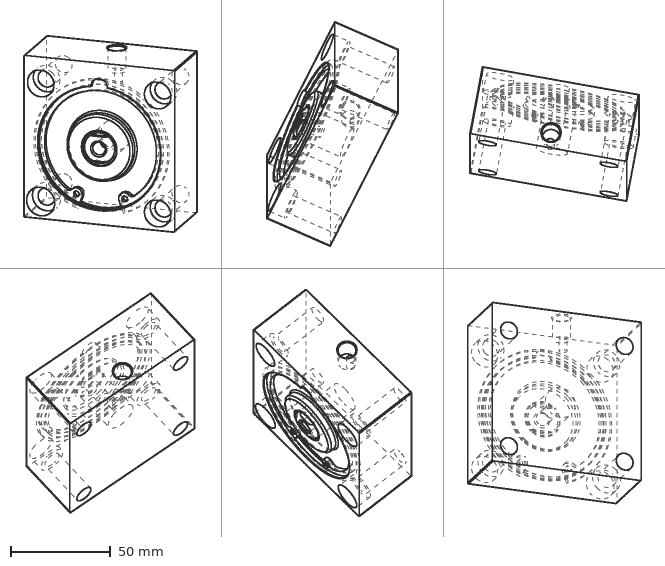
import cadquery as cq
import math

WIDTH = 80.0
DEPTH = 35.0
HEIGHT = 85.0
EDGE_CHAMFER = 0.4
BORE_Z = -2.5

HOLE_OFFSET = 31.0
HOLE_DIA = 9.0
COUNTERBORE_DIA = 14.0
LARGE_COUNTERBORE_DIA = 15.0
COUNTERBORE_DEPTH = 9.0

PORT_Y = 27.2
PORT_DIA = 9.0
PORT_MOUTH_DIA = 10.1
PORT_DEPTH = 11.9
PORT_FEED_DIA = 4.0
PORT_FEED_DEPTH = 6.8
PORT_FEED_OFFSET = 2.2

RECESS_DIA = 64.8
MOUTH_CHAMFER = 0.3
RECESS_DEPTH = 5.0
GROOVE_DIA = 67.0
RING_FRONT = 2.1
RING_THICKNESS = 2.4
NOTCH_DIA = 8.6
NOTCH_OFFSET = 32.4

BOSS_DIA = 35.0
BOSS_FACE = 0.1
BOSS_FOOT = 0.9
BOSS_CHAMFER = 1.2
ROD_RELIEF_DIA = 18.0
ROD_RELIEF_DEPTH = 0.25
ROD_RELIEF_CHAMFER = 0.4

RING_OUTER_DIA = 71.1
RING_INNER_RADIUS = 29.75
LUG_X = 12.8
LUG_DROP = 25.8
LUG_RADIUS = 3.2
LUG_HOLE_DIA = 3.0
LUG_FILLET = 2.0

ROD_DIA = 16.0
ROD_PROTRUSION = 1.0
ROD_INSERTION = 25.5
ROD_FILLET = 1.45
FLAT_WIDTH = 13.1
FLAT_LENGTH = 2.2
ROD_HOLE_DIA = 6.6
ROD_HOLE_DEPTH = 12.75
ROD_HOLE_CHAMFER = 0.85


def front_plane(y, z=BORE_Z):
    """Plane at depth y whose local axes are X and Z and whose normal points toward -Y."""
    return cq.Workplane("XZ", origin=(0, y, z))


def cylinder(diameter, y_start, y_end):
    """Cylinder on the bore axis between two depths."""
    return front_plane(y_start).circle(diameter / 2).extrude(y_start - y_end)


def turned(profile):
    """Solid turned about the bore axis from (radius, depth) points."""
    half_section = cq.Workplane("XY", origin=(0, 0, BORE_Z)).polyline(profile).close()
    return half_section.revolve(360, (0, 0, 0), (0, 1, 0))


def make_block():
    block = cq.Workplane("XY").box(WIDTH, DEPTH, HEIGHT).translate((0, DEPTH / 2, 0))
    return block.edges("|Y").chamfer(EDGE_CHAMFER)


def cut_mounting_holes(body):
    for x_side in (-1, 1):
        for z_side in (-1, 1):
            is_large = x_side < 0 and z_side < 0
            bore = LARGE_COUNTERBORE_DIA if is_large else COUNTERBORE_DIA
            centre = (x_side * HOLE_OFFSET, z_side * HOLE_OFFSET)
            start = front_plane(0).center(*centre)
            body = body.cut(start.circle(HOLE_DIA / 2).extrude(-DEPTH))
            body = body.cut(start.circle(bore / 2).extrude(-COUNTERBORE_DEPTH))
    return body


def cut_port(body):
    top = HEIGHT / 2
    chamfer = (PORT_MOUTH_DIA - PORT_DIA) / 2
    port = cq.Workplane("XY", origin=(0, PORT_Y, top)).circle(PORT_DIA / 2).extrude(-PORT_DEPTH)
    mouth = cq.Workplane("XY", origin=(0, PORT_Y, top)).circle(PORT_MOUTH_DIA / 2)
    mouth = mouth.extrude(-chamfer, taper=45)
    feed = cq.Workplane("XY", origin=(0, PORT_Y + PORT_FEED_OFFSET, top - PORT_DEPTH))
    feed = feed.circle(PORT_FEED_DIA / 2).extrude(-PORT_FEED_DEPTH)
    return body.cut(port).cut(mouth).cut(feed)


def make_boss():
    radius = BOSS_DIA / 2
    return turned([
        (0, RECESS_DEPTH),
        (radius + BOSS_FOOT, RECESS_DEPTH),
        (radius, RECESS_DEPTH - BOSS_FOOT),
        (radius, BOSS_FACE + BOSS_CHAMFER),
        (radius - BOSS_CHAMFER, BOSS_FACE),
        (0, BOSS_FACE),
    ])


def cut_recess(body):
    radius = RECESS_DIA / 2
    recess = turned([
        (0, 0),
        (radius + MOUTH_CHAMFER, 0),
        (radius, MOUTH_CHAMFER),
        (radius, RECESS_DEPTH),
        (0, RECESS_DEPTH),
    ])
    groove = cylinder(GROOVE_DIA, RING_FRONT, RING_FRONT + RING_THICKNESS)
    notch = front_plane(0).center(0, NOTCH_OFFSET).circle(NOTCH_DIA / 2).extrude(-RING_FRONT)
    return body.cut(recess).cut(groove).cut(notch)


def cut_rod_hole(body):
    radius = ROD_RELIEF_DIA / 2
    relief_floor = BOSS_FACE + ROD_RELIEF_CHAMFER + ROD_RELIEF_DEPTH
    relief = turned([
        (0, BOSS_FACE),
        (radius + ROD_RELIEF_CHAMFER, BOSS_FACE),
        (radius, BOSS_FACE + ROD_RELIEF_CHAMFER),
        (radius, relief_floor),
        (0, relief_floor),
    ])
    return body.cut(relief).cut(cylinder(ROD_DIA, BOSS_FACE, ROD_INSERTION))


def make_housing(retaining_ring):
    body = cut_port(cut_mounting_holes(make_block()))
    body = cut_recess(body).union(make_boss())
    return cut_rod_hole(body).cut(retaining_ring)


def ring_sector(inner_radius, start_angle, end_angle):
    """Part of the ring between two angles, measured from straight down toward +X."""
    def point(radius, angle):
        return (radius * math.sin(angle), -radius * math.cos(angle))

    outer_radius = RING_OUTER_DIA / 2
    middle = (start_angle + end_angle) / 2
    outline = (
        front_plane(RING_FRONT)
        .moveTo(*point(inner_radius, start_angle))
        .lineTo(*point(outer_radius, start_angle))
        .threePointArc(point(outer_radius, middle), point(outer_radius, end_angle))
        .lineTo(*point(inner_radius, end_angle))
        .threePointArc(point(inner_radius, middle), point(inner_radius, start_angle))
        .close()
    )
    return outline.extrude(-RING_THICKNESS)


def make_retaining_ring():
    lug_angle = math.atan2(LUG_X, LUG_DROP)
    lug_distance = math.hypot(LUG_X, LUG_DROP)
    gap_angle = lug_angle - math.asin(LUG_RADIUS / lug_distance)
    tangent_radius = math.sqrt(lug_distance**2 - LUG_RADIUS**2)
    ring = ring_sector(RING_INNER_RADIUS, gap_angle, 2 * math.pi - gap_angle)
    lug_centres = [(-LUG_X, -LUG_DROP), (LUG_X, -LUG_DROP)]
    lugs = front_plane(RING_FRONT).pushPoints(lug_centres).circle(LUG_RADIUS).extrude(-RING_THICKNESS)
    ring = ring.union(lugs)
    for start, end in ((gap_angle, lug_angle), (-lug_angle, -gap_angle)):
        ring = ring.union(ring_sector(tangent_radius, start, end))

    cosine = lug_distance**2 + RING_INNER_RADIUS**2 - LUG_RADIUS**2
    cosine /= 2 * lug_distance * RING_INNER_RADIUS
    corner_angle = lug_angle + math.acos(cosine)
    corner_z = BORE_Z - RING_INNER_RADIUS * math.cos(corner_angle)
    for side in (-1, 1):
        corner = (side * RING_INNER_RADIUS * math.sin(corner_angle), RING_FRONT, corner_z)
        ring = ring.edges("|Y").edges(cq.NearestToPointSelector(corner)).fillet(LUG_FILLET)
    holes = front_plane(RING_FRONT).pushPoints(lug_centres).circle(LUG_HOLE_DIA / 2).extrude(-RING_THICKNESS)
    return ring.cut(holes)


def make_rod():
    rod = cylinder(ROD_DIA, -ROD_PROTRUSION, ROD_INSERTION).faces("<Y").edges().fillet(ROD_FILLET)
    flat_z = FLAT_WIDTH / 2
    slope_start = FLAT_LENGTH - ROD_PROTRUSION
    slope_run = ROD_DIA / 2 - flat_z
    for side in (-1, 1):
        cutter = (
            cq.Workplane("YZ", origin=(-ROD_DIA / 2, 0, BORE_Z))
            .moveTo(-ROD_PROTRUSION, side * flat_z)
            .lineTo(slope_start, side * flat_z)
            .lineTo(slope_start + slope_run, side * ROD_DIA / 2)
            .lineTo(-ROD_PROTRUSION, side * ROD_DIA / 2)
            .close()
            .extrude(ROD_DIA)
        )
        rod = rod.cut(cutter)
    radius = ROD_HOLE_DIA / 2
    hole = turned([
        (0, -ROD_PROTRUSION),
        (radius + ROD_HOLE_CHAMFER, -ROD_PROTRUSION),
        (radius, ROD_HOLE_CHAMFER - ROD_PROTRUSION),
        (radius, ROD_HOLE_DEPTH - ROD_PROTRUSION),
        (0, ROD_HOLE_DEPTH - ROD_PROTRUSION),
    ])
    return rod.cut(hole)


retaining_ring = make_retaining_ring()
housing = make_housing(retaining_ring)
rod = make_rod()

result = cq.Compound.makeCompound([housing.val(), retaining_ring.val(), rod.val()])